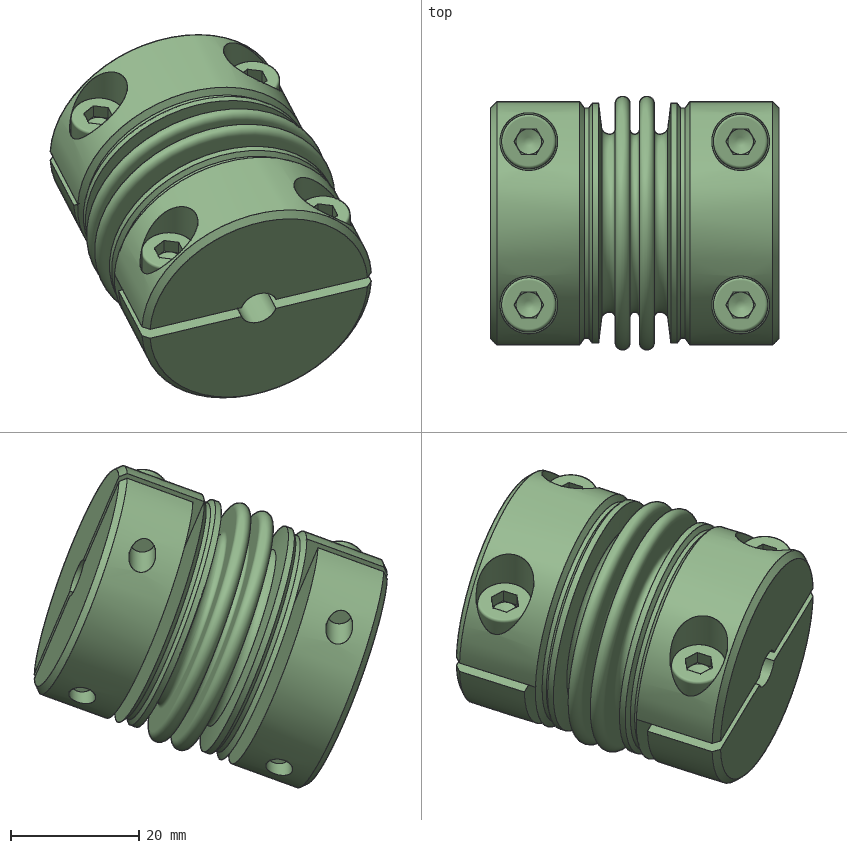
import cadquery as cq
import math


length = 45.0
hub_radius = 19.0
bore_diameter = 6.0
end_chamfer = 1.0
half_length = length / 2
hub_shoulder_x = 8.6

groove_radius = 18.0
groove_outer_x = 7.88
groove_inner_x = 7.15
collar_radius = 37.5 / 2
collar_outer_x = 6.6
collar_inner_x = 5.62

crest_radius = 19.8
root_radius = 13.9
crest_round = 1.15
crest_x = 1.9
middle_round = crest_x - crest_round
end_root_x = 3.85
end_root_round = end_root_x - crest_x - crest_round
wall_foot_x = 5.15
wall_foot_radius = 14.65

slot_width = 1.9
slot_half = slot_width / 2

screw_x = 16.5
screw_y = 12.75
head_diameter = 8.5
head_top_z = 11.0
head_height = 5.0
head_fillet = 0.45
shank_diameter = 5.0
shank_length = 13.5
clearance_diameter = 5.4
counterbore_diameter = 9.0
thread_hole_diameter = 4.2
socket_width = 4.0
socket_depth = 2.25
socket_cone_depth = 0.68
seat_z = head_top_z - head_height
socket_corner_diameter = socket_width / math.cos(math.pi / 6)


def diagonal(radius):
    """Offset along each axis of the midpoint of a quarter arc from its centre."""
    return radius * math.sqrt(0.5)


def half_body():
    """Revolved hub, collar and bellows convolution on the +X side."""
    crest_center = crest_radius - crest_round
    end_root_center = root_radius + end_root_round
    profile = (
        cq.Workplane("XY")
        .moveTo(middle_round, bore_diameter / 2)
        .lineTo(middle_round, crest_center)
        .threePointArc((crest_x, crest_radius), (crest_x + crest_round, crest_center))
        .lineTo(crest_x + crest_round, end_root_center)
        .threePointArc(
            (end_root_x - diagonal(end_root_round), end_root_center - diagonal(end_root_round)),
            (end_root_x, root_radius),
        )
        .tangentArcPoint((wall_foot_x, wall_foot_radius), relative=False)
        .lineTo(collar_inner_x, collar_radius)
        .lineTo(collar_outer_x, collar_radius)
        .lineTo(groove_inner_x, groove_radius)
        .lineTo(groove_outer_x, groove_radius)
        .lineTo(hub_shoulder_x, hub_radius)
        .lineTo(half_length - end_chamfer, hub_radius)
        .lineTo(half_length, hub_radius - end_chamfer)
        .lineTo(half_length, bore_diameter / 2)
        .close()
    )
    return profile.revolve(360, (0, 0, 0), (1, 0, 0))


def middle_ring():
    """Revolved root between the two convolutions, rounded by a half circle."""
    middle_center = root_radius + middle_round
    profile = (
        cq.Workplane("XY")
        .moveTo(-middle_round, bore_diameter / 2)
        .lineTo(-middle_round, middle_center)
        .threePointArc((0, root_radius), (middle_round, middle_center))
        .lineTo(middle_round, bore_diameter / 2)
        .close()
    )
    return profile.revolve(360, (0, 0, 0), (1, 0, 0))


def clamp_slots():
    """L-shaped cut that separates the lower clamp jaw from the hub."""
    return (
        cq.Workplane("XZ")
        .moveTo(half_length, slot_half)
        .lineTo(hub_shoulder_x, slot_half)
        .lineTo(hub_shoulder_x, -crest_radius)
        .lineTo(hub_shoulder_x + slot_width, -crest_radius)
        .lineTo(hub_shoulder_x + slot_width, -slot_half)
        .lineTo(half_length, -slot_half)
        .close()
        .extrude(crest_radius, both=True)
    )


def vertical_cylinder(diameter, bottom_z, top_z):
    return cq.Workplane("XY", origin=(0, 0, bottom_z)).circle(diameter / 2).extrude(top_z - bottom_z)


def screw_hole():
    """Counterbore, clearance hole and threaded hole on one vertical axis."""
    return (
        vertical_cylinder(counterbore_diameter, seat_z, crest_radius)
        .union(vertical_cylinder(clearance_diameter, 0, seat_z))
        .union(vertical_cylinder(thread_hole_diameter, -crest_radius, 0))
    )


def cap_screw():
    """Socket head cap screw; the hexagon socket has a conical bottom."""
    head = vertical_cylinder(head_diameter, seat_z, head_top_z).faces(">Z").fillet(head_fillet)
    shank = vertical_cylinder(shank_diameter, seat_z - shank_length, seat_z)
    socket = (
        cq.Workplane("XY", origin=(0, 0, head_top_z))
        .polygon(6, socket_corner_diameter)
        .extrude(-socket_depth)
    )
    socket_tip = cq.Workplane(
        cq.Solid.makeCone(
            socket_width / 2,
            0,
            socket_cone_depth,
            pnt=cq.Vector(0, 0, head_top_z - socket_depth),
            dir=cq.Vector(0, 0, -1),
        )
    )
    return head.union(shank).cut(socket).cut(socket_tip)


half = half_body().cut(clamp_slots())
for y in (-screw_y, screw_y):
    half = half.cut(screw_hole().translate((screw_x, y, 0)))
    half = half.union(cap_screw().translate((screw_x, y, 0)))

result = half.union(middle_ring()).union(half.mirror("YZ"))